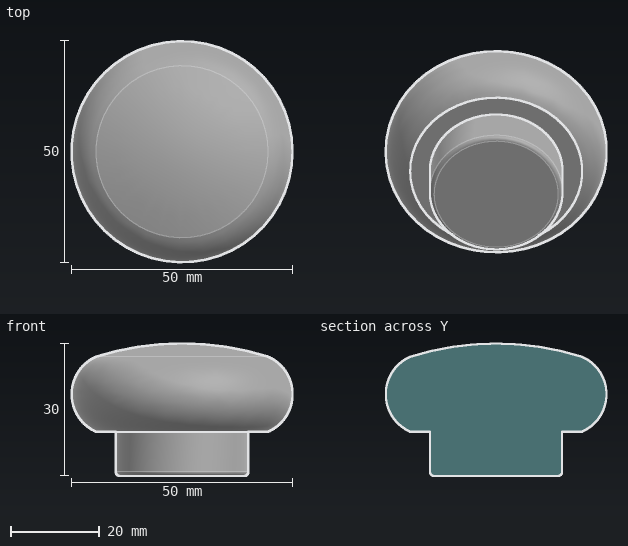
import cadquery as cq

knob_diameter = 50.0
total_height = 30.0

neck_diameter = 30.0
neck_height = 10.0
neck_edge_radius = 1.0

rim_edge_diameter = 38.86
rim_height = 17.0
rim_top = neck_height + rim_height
rim_middle = neck_height + rim_height / 2

crown_rise = total_height - rim_top
crown_radius = ((rim_edge_diameter / 2) ** 2 + crown_rise**2) / (2 * crown_rise)


def build_profile():
    """Half section of the knob in the XZ plane, starting at the axis."""
    return (
        cq.Workplane("XZ")
        .lineTo(neck_diameter / 2, 0)
        .lineTo(neck_diameter / 2, neck_height)
        .lineTo(rim_edge_diameter / 2, neck_height)
        .threePointArc(
            (knob_diameter / 2, rim_middle),
            (rim_edge_diameter / 2, rim_top),
        )
        .radiusArc((0, total_height), -crown_radius)
        .close()
    )


def round_neck_edge(knob):
    """Round the outer edge of the neck's flat end."""
    return knob.faces("<Z").edges().fillet(neck_edge_radius)


axis_start = (0, 0, 0)
axis_end = (0, 1, 0)
revolved_knob = build_profile().revolve(360, axis_start, axis_end)
result = round_neck_edge(revolved_knob)